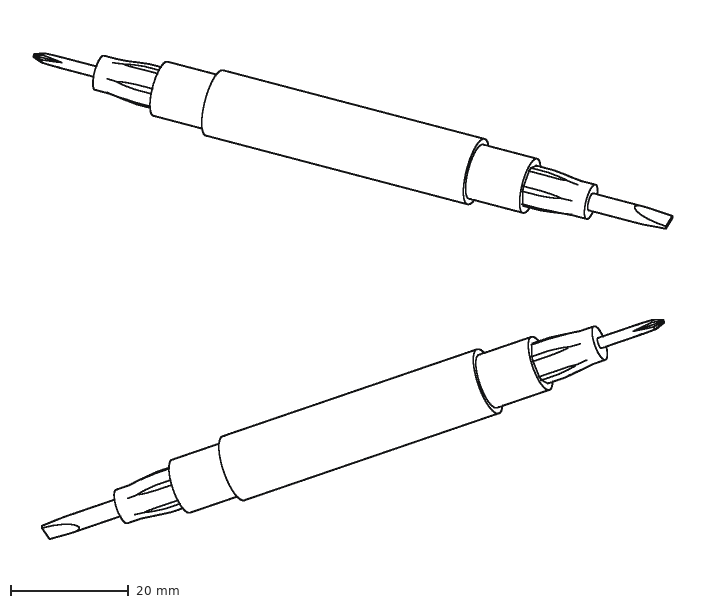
import cadquery as cq
import math


total_length = 116.2
handle_center_x = -1.2
tip_x = total_length / 2

grip_diameter = 11.5
grip_length = 47.9
barrel_diameter = 9.5
barrel_length = 67.7
socket_depth = (barrel_length - grip_length) / 2

hex_across_flats = 6.7
nose_diameter = 6.0
nose_length = 2.4
taper_length = 5.6
nose_reach = 45.0
hex_corner_diameter = 7.3
taper_corner_diameter = 6.3
hex_sides = 6
sharp_corner_diameter = hex_across_flats / math.cos(math.pi / hex_sides)

socket_floor = barrel_length / 2 - socket_depth
nose_start = nose_reach - nose_length
taper_start = nose_start - taper_length

cross_diameter = 1.9
cross_point_length = 1.7
cross_tip_diameter = 0.6
flute_count = 4
flute_length = 5.3
flute_tip_offset = 0.17

flat_diameter = 3.0
flat_grind_length = 6.3
flat_tip_thickness = 0.6
flat_middle_thickness = 1.4

cross_reach = tip_x + handle_center_x
flat_reach = tip_x - handle_center_x


def turned(profile):
    """Revolve an (x, radius) outline about the X axis."""
    return cq.Workplane("XZ").polyline(profile).close().revolve(360, (0, 0, 0), (1, 0, 0))


def rod(x_start, x_end, diameter):
    radius = diameter / 2
    return turned([(x_start, 0), (x_start, radius), (x_end, radius), (x_end, 0)])


def polar(radius, degrees):
    angle = math.radians(degrees)
    return (radius * math.cos(angle), radius * math.sin(angle))


side_angle = 360 / hex_sides
corner_angles = [(side + 0.5) * side_angle for side in range(hex_sides)]


def hex_wire(x):
    """Sharp hexagon at x, with two flats square to the Y axis."""
    corners = [polar(sharp_corner_diameter / 2, angle) for angle in corner_angles]
    return cq.Workplane("YZ", origin=(x, 0, 0)).polyline(corners).close().val()


def nose_wire(x):
    """Nose circle at x, split into one arc per side of the hexagon."""
    radius = nose_diameter / 2
    circle = cq.Workplane("YZ", origin=(x, 0, 0)).moveTo(*polar(radius, corner_angles[-1]))
    for angle in corner_angles:
        circle = circle.threePointArc(polar(radius, angle - side_angle / 2), polar(radius, angle))
    return circle.wire().val()


def hex_plug(x_start, x_end):
    """Straight hexagonal prism with rounded corners."""
    prism = cq.Solid.extrudeLinear(hex_wire(x_start), [], cq.Vector(x_end - x_start, 0, 0))
    return cq.Workplane(prism).intersect(rod(x_start, x_end, hex_corner_diameter))


def make_collar():
    """Hexagonal plug, taper from hexagon to circle, and round nose, pointing to +X."""
    plug = hex_plug(socket_floor, taper_start)
    taper = cq.Workplane(cq.Solid.makeLoft([hex_wire(taper_start), nose_wire(nose_start)], True))
    corner_cone = turned([
        (taper_start, 0),
        (taper_start, hex_corner_diameter / 2),
        (nose_start, taper_corner_diameter / 2),
        (nose_start, 0),
    ])
    nose = rod(nose_start, nose_reach, nose_diameter)
    return plug.union(taper.intersect(corner_cone)).union(nose)


def make_handle():
    half_barrel = barrel_length / 2
    handle = rod(-half_barrel, half_barrel, barrel_diameter)
    handle = handle.union(rod(-grip_length / 2, grip_length / 2, grip_diameter))
    socket = hex_plug(socket_floor, half_barrel)
    return handle.cut(socket).cut(socket.mirror("YZ"))


def make_cross_bit():
    """Bit with a pointed, four-fluted tip, built pointing to +X and turned to -X."""
    radius = cross_diameter / 2
    shank = turned([
        (nose_reach, 0),
        (nose_reach, radius),
        (cross_reach - cross_point_length, radius),
        (cross_reach, cross_tip_diameter / 2),
        (cross_reach, 0),
    ])
    rise = radius - flute_tip_offset
    tilt = math.degrees(math.atan2(rise, flute_length))
    bar_length = 3 * flute_length
    bar_side = cross_diameter
    flute = (
        cq.Workplane("XY")
        .box(bar_length, bar_side, bar_side, centered=(True, False, False))
        .rotate((0, 0, 0), (1, 0, 0), 45)
        .rotate((0, 0, 0), (0, 1, 0), tilt)
        .translate((cross_reach, 0, flute_tip_offset))
    )
    for index in range(flute_count):
        angle = (index + 0.5) * 360 / flute_count
        shank = shank.cut(flute.rotate((0, 0, 0), (1, 0, 0), angle))
    return make_collar().union(shank).mirror("YZ")


def make_flat_bit():
    """Bit with a blade whose upper and lower faces are ground hollow."""
    radius = flat_diameter / 2
    grind_start = flat_reach - flat_grind_length
    grind_middle = flat_reach - flat_grind_length / 2
    shank = rod(nose_reach, flat_reach, flat_diameter)
    ground_away = (
        cq.Workplane("XZ")
        .moveTo(grind_start, radius)
        .threePointArc((grind_middle, flat_middle_thickness / 2), (flat_reach, flat_tip_thickness / 2))
        .lineTo(flat_reach, radius)
        .close()
        .extrude(radius, both=True)
    )
    shank = shank.cut(ground_away).cut(ground_away.mirror("XY"))
    return make_collar().union(shank)


handle = make_handle()
cross_bit = make_cross_bit()
flat_bit = make_flat_bit()

bodies = [body.translate((handle_center_x, 0, 0)).val() for body in (handle, cross_bit, flat_bit)]
result = cq.Compound.makeCompound(bodies)